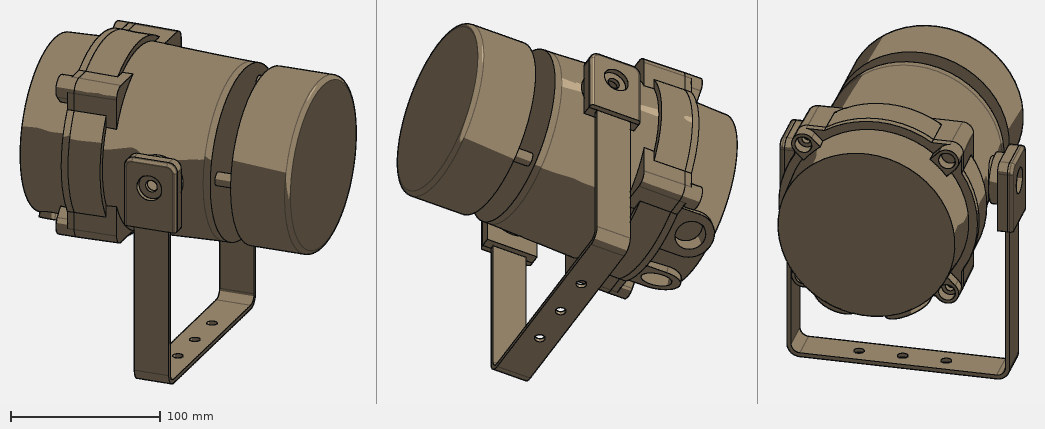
import cadquery as cq
import math

COVER_BACK_X = 0.0
COVER_LUG_X = 24.5
COVER_FLANGE_X = 32.9
JOINT_X = 37.8
FLANGE_END_X = 60.8
LUG_END_X = 68.3
RIM_X = 132.5
HOUSING_END_X = 137.5
HORN_X = 152.3
HORN_END_X = 194.3

COVER_BACK_RADIUS = 61.0
COVER_FRONT_RADIUS = 62.5
FLANGE_RADIUS = 68.5
HOUSING_BACK_RADIUS = 64.8
RIM_RADIUS = 61.0
HORN_RADIUS = 61.0
HORN_FILLET = 3.0
DRAFT_ANGLE = 1.0

LUG_OFFSET = 49.5
LUG_RADIUS = 8.0
SQUARE_SIDE = 2 * (LUG_OFFSET + LUG_RADIUS)
SCREW_HEAD_DIAMETER = 11.5
SCREW_HEAD_DEPTH = COVER_FLANGE_X - COVER_LUG_X
SCREW_DIAMETER = 6.0
LUG_CORNERS = [(1, 1), (-1, 1), (-1, -1), (1, -1)]
BLIND_CORNER = (-1, 1)

ENTRY_ANGLE = 22.5
ENTRY_RADIUS = 16.5
ENTRY_X = COVER_BACK_X + ENTRY_RADIUS
ENTRY_FACE_DISTANCE = 64.2
ENTRY_ROOT_DISTANCE = 42.7
ENTRY_HOLE_DIAMETER = 21.0
ENTRY_HOLE_DEPTH = 12.8

POST_COUNT = 3
POST_DIAMETER = 9.4
POST_CIRCLE_RADIUS = 48.2
FIRST_POST_ANGLE = 180.0

PIVOT_X = 101.5
STRIP_WIDTH = 25.0
STRIP_THICKNESS = 3.0
STRIP_OUTER_Y = 76.8
STRIP_TOP_Z = STRIP_WIDTH / 2
STRIP_BOTTOM_Z = -144.8
BEND_INNER_RADIUS = 6.0
BEND_OUTER_RADIUS = BEND_INNER_RADIUS + STRIP_THICKNESS
MOUNT_HOLE_DIAMETER = 7.0
MOUNT_HOLE_SPACING = 30.0
MOUNT_HOLE_PLACES = [-MOUNT_HOLE_SPACING, 0, MOUNT_HOLE_SPACING]

CLAMP_SPAN = 161.0
CLAMP_WIDTH = 37.5
CLAMP_TOP_Z = 19.2
CLAMP_BOTTOM_Z = -29.9
CLAMP_CORNER_RADIUS = 6.2
CLAMP_INNER_Y = 70.0
CLAMP_OUTER_Y = CLAMP_SPAN / 2
CLAMP_EDGE_FILLET = 2.1
PIVOT_BOSS_DIAMETER = 29.0
COLLAR_DIAMETER = 35.0
COLLAR_INNER_Y = 63.5
PIVOT_HOLE_DIAMETER = 8.3
PIVOT_RECESS_DIAMETER = 18.0


def across(x):
    """Workplane square to the main axis at station x, with local axes Y and Z."""
    return cq.Workplane("YZ", origin=(x, 0, 0))


def cone(x_start, radius_start, x_end, radius_end):
    profile = [(x_start, 0), (x_start, radius_start), (x_end, radius_end), (x_end, 0)]
    return cq.Workplane("XY").polyline(profile).close().revolve(360, (0, 0, 0), (1, 0, 0))


def rounded_square(x_start, x_end, draft):
    """Square prism whose rounded corners form the lugs; positive draft narrows it toward +X."""
    outline = cq.Sketch().rect(SQUARE_SIDE, SQUARE_SIDE).vertices().fillet(LUG_RADIUS)
    return across(x_start).placeSketch(outline).extrude(x_end - x_start, taper=draft)


def along_y(y_start, y_end, diameter):
    """Cylinder on the pivot axis between two Y positions."""
    plane = cq.Workplane("XZ", origin=(PIVOT_X, y_start, 0))
    return plane.circle(diameter / 2).extrude(y_start - y_end)


def cover_lug(side_y, side_z):
    """Round-ended arm that reaches from the main axis out to one screw."""
    length = COVER_FLANGE_X - COVER_LUG_X
    reach = LUG_OFFSET * math.sqrt(2)
    arm = (
        across(COVER_LUG_X)
        .center(reach / 2, 0)
        .rect(reach, 2 * LUG_RADIUS)
        .extrude(length)
        .union(across(COVER_LUG_X).center(reach, 0).circle(LUG_RADIUS).extrude(length))
    )
    direction = math.degrees(math.atan2(side_z, side_y))
    return arm.rotate((0, 0, 0), (1, 0, 0), direction)


def entry_plane(distance, angle):
    """Plane facing down and out at an angle from -Z, with local x along the main axis."""
    turn = math.radians(angle)
    normal = (0, math.sin(turn), -math.cos(turn))
    origin = (ENTRY_X, normal[1] * distance, normal[2] * distance)
    return cq.Workplane(cq.Plane(origin=origin, xDir=(1, 0, 0), normal=normal))


def entry_pad(angle):
    """Flat pad, round at the back and running straight into the flange."""
    height = ENTRY_FACE_DISTANCE - ENTRY_ROOT_DISTANCE
    straight = COVER_FLANGE_X - ENTRY_X
    plane = entry_plane(ENTRY_ROOT_DISTANCE, angle)
    return (
        plane.moveTo(straight, ENTRY_RADIUS)
        .lineTo(0, ENTRY_RADIUS)
        .threePointArc((-ENTRY_RADIUS, 0), (0, -ENTRY_RADIUS))
        .lineTo(straight, -ENTRY_RADIUS)
        .close()
        .extrude(height)
    )


def entry_hole(angle):
    plane = entry_plane(ENTRY_FACE_DISTANCE, angle)
    return plane.circle(ENTRY_HOLE_DIAMETER / 2).extrude(-ENTRY_HOLE_DEPTH)


def make_cover():
    body = cone(COVER_BACK_X, COVER_BACK_RADIUS, COVER_FLANGE_X, COVER_FRONT_RADIUS)
    flange = across(COVER_FLANGE_X).circle(FLANGE_RADIUS).extrude(JOINT_X - COVER_FLANGE_X)
    body = body.union(flange).union(rounded_square(COVER_FLANGE_X, JOINT_X, 0))
    for corner in LUG_CORNERS:
        body = body.union(cover_lug(*corner))
    for angle in (-ENTRY_ANGLE, ENTRY_ANGLE):
        body = body.union(entry_pad(angle)).cut(entry_hole(angle))
    for corner in LUG_CORNERS:
        axis = across(COVER_LUG_X).center(corner[0] * LUG_OFFSET, corner[1] * LUG_OFFSET)
        body = body.cut(axis.circle(SCREW_HEAD_DIAMETER / 2).extrude(SCREW_HEAD_DEPTH))
        if corner != BLIND_CORNER:
            body = body.cut(axis.circle(SCREW_DIAMETER / 2).extrude(JOINT_X - COVER_LUG_X))
    return body


def make_housing():
    barrel = cone(JOINT_X, HOUSING_BACK_RADIUS, RIM_X, RIM_RADIUS)
    rim = across(RIM_X).circle(RIM_RADIUS).extrude(HOUSING_END_X - RIM_X)
    flange_length = FLANGE_END_X - JOINT_X
    flange = across(JOINT_X).circle(FLANGE_RADIUS).extrude(flange_length, taper=DRAFT_ANGLE)
    lugs = rounded_square(JOINT_X, LUG_END_X, DRAFT_ANGLE)
    pivot_bosses = along_y(-COLLAR_INNER_Y, COLLAR_INNER_Y, PIVOT_BOSS_DIAMETER)
    return barrel.union(rim).union(flange).union(lugs).union(pivot_bosses)


def make_horn():
    """Horn drum with the posts that stand it off the housing."""
    horn = across(HORN_X).circle(HORN_RADIUS).extrude(HORN_END_X - HORN_X)
    horn = horn.faces(">X").edges().fillet(HORN_FILLET)
    posts = (
        across(HOUSING_END_X)
        .polarArray(POST_CIRCLE_RADIUS, FIRST_POST_ANGLE, 360, POST_COUNT)
        .circle(POST_DIAMETER / 2)
        .extrude(HORN_X - HOUSING_END_X)
    )
    return horn.union(posts)


def stirrup_block(half_span, bottom_z, bend_radius):
    """Solid block with the two lower edges rounded."""
    height = STRIP_TOP_Z - bottom_z
    block = cq.Workplane("XY", origin=(PIVOT_X, 0, bottom_z))
    block = block.rect(STRIP_WIDTH, 2 * half_span).extrude(height)
    return block.edges("|X and <Z").fillet(bend_radius)


def make_bracket():
    outside = stirrup_block(STRIP_OUTER_Y, STRIP_BOTTOM_Z, BEND_OUTER_RADIUS)
    inside = stirrup_block(
        STRIP_OUTER_Y - STRIP_THICKNESS, STRIP_BOTTOM_Z + STRIP_THICKNESS, BEND_INNER_RADIUS
    )
    mount_holes = (
        cq.Workplane("XY", origin=(PIVOT_X, 0, STRIP_BOTTOM_Z))
        .pushPoints([(0, y) for y in MOUNT_HOLE_PLACES])
        .circle(MOUNT_HOLE_DIAMETER / 2)
        .extrude(STRIP_THICKNESS)
    )
    pivot_holes = along_y(-STRIP_OUTER_Y, STRIP_OUTER_Y, PIVOT_HOLE_DIAMETER)
    return outside.cut(inside).cut(mount_holes).cut(pivot_holes)


def clamp_plate(y_start, y_end):
    """Upright plate with the two upper corners rounded, between two Y positions on the -Y side."""
    plate = (
        cq.Workplane("XZ", origin=(PIVOT_X, y_start, (CLAMP_TOP_Z + CLAMP_BOTTOM_Z) / 2))
        .rect(CLAMP_WIDTH, CLAMP_TOP_Z - CLAMP_BOTTOM_Z)
        .extrude(y_start - y_end)
    )
    return plate.edges("|Y and >Z").fillet(CLAMP_CORNER_RADIUS)


def on_side(body, side):
    """Keep a body built on the -Y side there (side -1) or mirror it to the +Y side (side 1)."""
    return body if side < 0 else body.mirror("XZ")


def make_clamp_base(side, bracket):
    """Inner half of a clamp, with a collar toward the housing and a recess for the bracket end."""
    base = clamp_plate(-CLAMP_INNER_Y, -STRIP_OUTER_Y)
    base = base.union(along_y(-COLLAR_INNER_Y, -CLAMP_INNER_Y, COLLAR_DIAMETER))
    base = base.cut(along_y(-COLLAR_INNER_Y, -STRIP_OUTER_Y, PIVOT_HOLE_DIAMETER))
    return on_side(base, side).cut(bracket)


def make_clamp_cap(side):
    """Outer half of a clamp, with its edge rounded except along the bottom."""
    cap = clamp_plate(-STRIP_OUTER_Y, -CLAMP_OUTER_Y)
    cap = cap.faces("<Y").edges("not <Z").fillet(CLAMP_EDGE_FILLET)
    return on_side(cap.cut(along_y(-STRIP_OUTER_Y, -CLAMP_OUTER_Y, PIVOT_RECESS_DIAMETER)), side)


cover = make_cover()
housing = make_housing()
horn = make_horn()
bracket = make_bracket()
clamp_bases = [make_clamp_base(side, bracket) for side in (-1, 1)]
clamp_caps = [make_clamp_cap(side) for side in (-1, 1)]

result = cq.Compound.makeCompound(
    [
        cover.val(),
        housing.val(),
        horn.val(),
        bracket.val(),
        *[base.val() for base in clamp_bases],
        *[cap.val() for cap in clamp_caps],
    ]
)